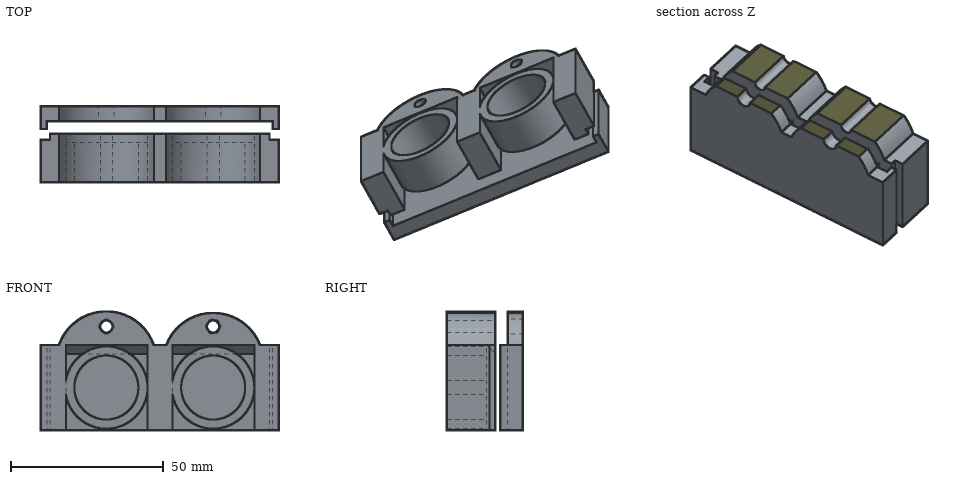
import cadquery as cq

length = 78.0
block_height = 28.0
bay_spacing = 35.0
bay_centers = [length / 2 - bay_spacing / 2, length / 2 + bay_spacing / 2]

dome_radius = 16.5
dome_centers_z = [22.5, 22.0]

housing_depth = 16.0
rabbet_width = 3.0
rabbet_depth = 2.0
housing_hole_diameter = 4.0
hole_z = 34.0

tube_diameter = 27.0
bore_diameter = 21.0
tube_center_z = 14.0
tube_wall_overlap = 0.2

pocket_width = tube_diameter - tube_wall_overlap
pocket_lip = 3.0
tube_length = housing_depth - pocket_lip

plate_front_y = 20.0
plate_thickness = 5.0
lip_width = 2.0
lip_depth = 2.5
plate_hole_diameter = 5.0


def box(x, y, z, size_x, size_y, size_z):
    """Box with its lowest corner at (x, y, z)."""
    return cq.Workplane("XY", origin=(x, y, z)).box(size_x, size_y, size_z, centered=False)


def rod(x, z, diameter, y, depth):
    """Cylinder along +Y, starting at y."""
    return cq.Workplane("XZ", origin=(x, y, z)).circle(diameter / 2).extrude(-depth)


def domed_slab(y, depth):
    """Rectangular slab with a circular dome on top of each bay."""
    slab = box(0, y, 0, length, depth, block_height)
    above_block = box(0, y, block_height, length, depth, dome_radius)
    for x, z in zip(bay_centers, dome_centers_z):
        dome = rod(x, z, 2 * dome_radius, y, depth).intersect(above_block)
        slab = slab.union(dome)
    return slab


def pocket(x):
    """Pocket for the tube centred at x: it cuts into the tube's -X side and is tangent on its +X side."""
    start_x = x - tube_diameter / 2 + tube_wall_overlap
    profile = [
        (0, 0),
        (housing_depth, 0),
        (housing_depth, block_height - pocket_lip),
        (housing_depth - pocket_lip, block_height),
        (0, block_height),
    ]
    return cq.Workplane("YZ", origin=(start_x, 0, 0)).polyline(profile).close().extrude(pocket_width)


def make_housing():
    body = domed_slab(0, housing_depth)

    for x in (0, length - rabbet_width):
        body = body.cut(box(x, housing_depth - rabbet_depth, 0, rabbet_width, rabbet_depth, block_height))

    for x in bay_centers:
        body = body.cut(pocket(x))
        body = body.union(rod(x, tube_center_z, tube_diameter, 0, tube_length))
        body = body.cut(rod(x, tube_center_z, bore_diameter, 0, tube_length))
        body = body.cut(rod(x, hole_z, housing_hole_diameter, 0, housing_depth))
    return body


def make_plate():
    body = domed_slab(plate_front_y, plate_thickness)

    for x in (0, length - lip_width):
        body = body.union(box(x, plate_front_y - lip_depth, 0, lip_width, lip_depth, block_height))

    for x in bay_centers:
        body = body.cut(rod(x, hole_z, plate_hole_diameter, plate_front_y, plate_thickness))
    return body


housing = make_housing()
plate = make_plate()

result = cq.Compound.makeCompound([housing.solids().val(), plate.solids().val()])